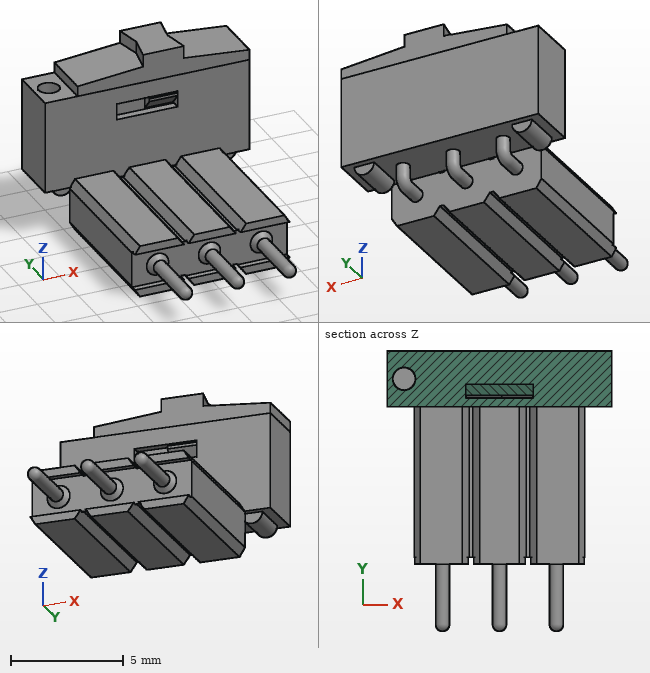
import cadquery as cq


pin_pitch = 2.54
pin_offsets = [-pin_pitch, 0, pin_pitch]

housing_length = 10.0
housing_depth = 2.5
housing_bottom = 0.89
housing_top = 5.41
housing_right = housing_length / 2
housing_front = -housing_depth / 2

foot_radius = 0.5
foot_offset = 4.0
foot_width = 1.88

hole_radius = 0.5
hole_x = -4.25
hole_depth = 1.5

window_half_length = 1.49
window_bottom = 3.81
window_top = 4.6
window_wall = 0.4
slot_bottom = (housing_bottom + housing_top) / 2
slot_front = housing_front + window_wall

rocker_left = -3.41
rocker_center = (rocker_left + housing_right) / 2
rocker_end_height = 0.5
rocker_crown_height = 0.79
tab_half_length = 1.0
tab_height = 1.39
tab_waist_inset = 0.24

tongue_clearance = 0.1
tongue_thickness = 0.5
tongue_front = slot_front + tongue_clearance
tongue_back = tongue_front + tongue_thickness
hook_left = 0.1
hook_top_bevel = 0.09
hook_nose_height = 0.14
hook_edge_run = 0.02
hook_edge_height = 0.04

header_half_length = 3.8
header_half_height = 1.28
header_depth = 7.0
header_back = housing_front
header_front = header_back - header_depth
core_half_height = 0.85
end_slope_run = 0.26
groove_floor_half = 0.09
groove_mouth_half = 0.39
lip_overhang = 0.3
lip_underside = 0.89
header_face = header_front + lip_overhang

pin_radius = 0.31
bend_radius = 0.38
pin_tip = housing_front - 10.0
collar_radius = 0.54
collar_length = 0.25


def box_between(x_range, y_range, z_range):
    """Axis-aligned block given its limits along each axis."""
    sizes = [high - low for low, high in (x_range, y_range, z_range)]
    corner = (x_range[0], y_range[0], z_range[0])
    return cq.Workplane("XY").box(*sizes, centered=False).translate(corner)


def make_foot(x):
    """Lower half of a round bar that runs along Y under the housing."""
    return (
        cq.Workplane("XZ")
        .moveTo(x - foot_radius, housing_bottom)
        .threePointArc((x, housing_bottom - foot_radius), (x + foot_radius, housing_bottom))
        .close()
        .extrude(foot_width / 2, both=True)
    )


def make_housing():
    """Block with two feet, a blind hole and a front window into the latch slot."""
    block = box_between(
        (-housing_right, housing_right),
        (housing_front, -housing_front),
        (housing_bottom, housing_top),
    )
    hole = (
        cq.Workplane("XY", origin=(hole_x, 0, housing_top - hole_depth))
        .circle(hole_radius)
        .extrude(hole_depth)
    )
    window = box_between(
        (-window_half_length, window_half_length),
        (housing_front, slot_front),
        (window_bottom, window_top),
    )
    slot = box_between(
        (-window_half_length, window_half_length),
        (slot_front, tongue_back),
        (slot_bottom, housing_top),
    )
    housing = block.cut(hole).cut(window).cut(slot)
    for side in (-1, 1):
        housing = housing.union(make_foot(side * foot_offset))
    return housing


def make_latch():
    """Tongue that fills the slot behind its clearance, with a hook reaching into the window."""
    tongue = box_between(
        (-window_half_length, window_half_length),
        (tongue_front, tongue_back),
        (slot_bottom, housing_top),
    )
    nose_top = window_top - hook_top_bevel
    nose_bottom = nose_top - hook_nose_height
    hook_profile = [
        (tongue_front, window_bottom),
        (housing_front + hook_edge_run, nose_bottom - hook_edge_height),
        (housing_front, nose_bottom),
        (housing_front, nose_top),
        (housing_front + hook_top_bevel, window_top),
        (tongue_front, window_top),
    ]
    hook = (
        cq.Workplane("YZ", origin=(hook_left, 0, 0))
        .polyline(hook_profile)
        .close()
        .extrude(window_half_length - hook_left)
    )
    return tongue.union(hook)


def make_rocker():
    """Low gabled cap on the housing with a waisted finger tab and a latch below."""
    end_top = housing_top + rocker_end_height
    crown_top = housing_top + rocker_crown_height
    tab_top = housing_top + tab_height
    waist_half_length = tab_half_length - tab_waist_inset
    roof_run = housing_right - rocker_center - tab_half_length
    roof_slope = (rocker_crown_height - rocker_end_height) / roof_run
    waist_top = crown_top + roof_slope * tab_waist_inset
    cap_profile = [
        (rocker_left, housing_top),
        (housing_right, housing_top),
        (housing_right, end_top),
        (rocker_center + waist_half_length, waist_top),
        (rocker_center - waist_half_length, waist_top),
        (rocker_left, end_top),
    ]
    cap = cq.Workplane("XZ").polyline(cap_profile).close().extrude(housing_depth / 2, both=True)
    tab_outline = [
        (rocker_center - tab_half_length, housing_front),
        (rocker_center + tab_half_length, housing_front),
        (rocker_center + waist_half_length, 0),
        (rocker_center + tab_half_length, -housing_front),
        (rocker_center - tab_half_length, -housing_front),
        (rocker_center - waist_half_length, 0),
    ]
    tab = (
        cq.Workplane("XY", origin=(0, 0, housing_top))
        .polyline(tab_outline)
        .close()
        .extrude(tab_top - housing_top)
    )
    return cap.union(tab).union(make_latch())


def header_upper_edge():
    """Left-to-right points of the three trapezoidal ribs along the header top."""
    points = [
        (-header_half_length, core_half_height),
        (-header_half_length + end_slope_run, header_half_height),
    ]
    for groove_x in (-pin_pitch / 2, pin_pitch / 2):
        points += [
            (groove_x - groove_mouth_half, header_half_height),
            (groove_x - groove_floor_half, core_half_height),
            (groove_x + groove_floor_half, core_half_height),
            (groove_x + groove_mouth_half, header_half_height),
        ]
    points += [
        (header_half_length - end_slope_run, header_half_height),
        (header_half_length, core_half_height),
    ]
    return points


def make_pin(x):
    """Round pin with a domed tip and a collar, bent up to the housing at the back."""
    tip_center = pin_tip + pin_radius
    path = (
        cq.Workplane("YZ", origin=(x, 0, 0))
        .moveTo(tip_center, 0)
        .lineTo(-bend_radius, 0)
        .radiusArc((0, bend_radius), -bend_radius)
        .lineTo(0, housing_bottom)
    )
    rod = cq.Workplane("XZ", origin=(x, tip_center, 0)).circle(pin_radius).sweep(path)
    dome = cq.Workplane("XY").sphere(pin_radius).translate((x, tip_center, 0))
    collar = cq.Workplane(
        cq.Solid.makeCone(
            collar_radius,
            pin_radius,
            collar_length,
            pnt=cq.Vector(x, header_face, 0),
            dir=cq.Vector(0, -1, 0),
        )
    )
    return rod.union(dome).union(collar)


def make_header():
    """Ribbed insulator, its front face set back under the ribs, with its pins."""
    upper_edge = header_upper_edge()
    lower_edge = [(x, -z) for x, z in reversed(upper_edge)]
    header = (
        cq.Workplane("XZ", origin=(0, header_back, 0))
        .polyline(upper_edge + lower_edge)
        .close()
        .extrude(header_depth)
    )
    face_setback = box_between(
        (-header_half_length, header_half_length),
        (header_front, header_face),
        (-lip_underside, lip_underside),
    )
    header = header.cut(face_setback)
    for x in pin_offsets:
        header = header.union(make_pin(x))
    return header


housing = make_housing()
rocker = make_rocker()
header = make_header()

result = cq.Compound.makeCompound([housing.val(), rocker.val(), header.val()])